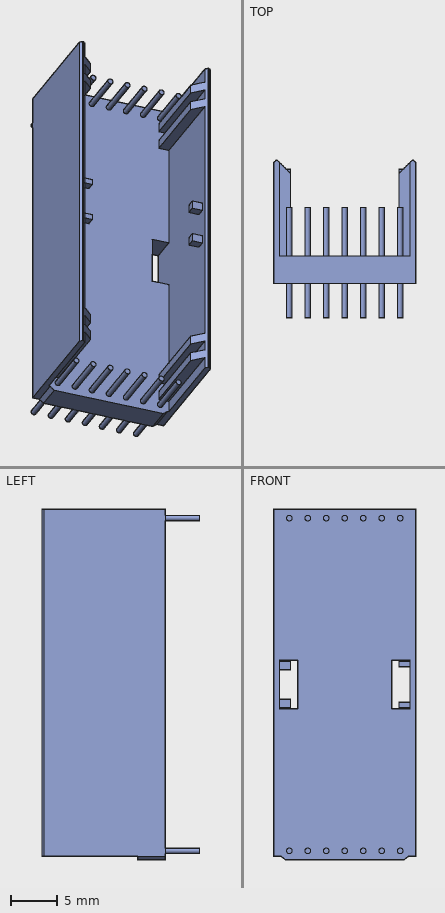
import cadquery as cq

width = 15.4
height = 38.0
depth = 17.1
pin_reach = 3.72
floor_thickness = 3.0
wall_thickness = 0.65
wall_back = depth - pin_reach
wall_inner_x = width / 2 - wall_thickness

edge_bevel = 0.25
wall_shoulder = wall_back - edge_bevel

lip_drop = 0.38
lip_inset = 0.8
lip_corner_run = 0.5

pin_diameter = 0.6
pins_per_row = 7
pin_row_span = 12.0
pin_pitch = pin_row_span / (pins_per_row - 1)
pin_end_inset = 1.0
pin_inner_reach = 5.25
pin_length = pin_reach + floor_thickness + pin_inner_reach

slot_width = 1.95
slot_height = 5.25
mid_z = height / 2

rib_depth = 1.18
rib_height = 1.0
rib_pitch = 2.1
rib_end_inset = 1.67
ribs_per_end = 2

catch_clearance = 0.1
catch_back = wall_back - 1.0
catch_thickness = 1.0
catch_heights = {-1: 0.9, 1: 0.6}


def extrude_up(outline, bottom, length):
    return cq.Workplane("XY", origin=(0, 0, bottom)).polyline(outline).close().extrude(length)


def make_floor():
    half = width / 2
    notch_x = half - lip_inset
    lip_x = notch_x - lip_corner_run
    outline = [
        (-half, height),
        (-half, lip_drop),
        (-notch_x, lip_drop),
        (-lip_x, 0),
        (lip_x, 0),
        (notch_x, lip_drop),
        (half, lip_drop),
        (half, height),
    ]
    sketch = cq.Workplane("XZ", origin=(0, floor_thickness, 0)).polyline(outline).close()
    return sketch.extrude(floor_thickness)


def make_wall(side):
    outline = [
        (side * width / 2, 0),
        (side * width / 2, wall_shoulder),
        (side * (width / 2 - edge_bevel), wall_back),
        (side * (wall_inner_x + edge_bevel), wall_back),
        (side * wall_inner_x, wall_shoulder),
        (side * wall_inner_x, 0),
    ]
    return extrude_up(outline, lip_drop, height - lip_drop)


def make_slot(side):
    center = (side * (wall_inner_x - slot_width / 2), floor_thickness / 2, mid_z)
    return cq.Workplane("XY").box(slot_width, floor_thickness, slot_height).translate(center)


def make_rib(side, bottom):
    root_x = side * wall_inner_x
    crest_x = side * (wall_inner_x - rib_depth)
    outline = [
        (root_x, floor_thickness),
        (root_x, wall_shoulder),
        (crest_x, wall_shoulder - rib_depth),
        (crest_x, floor_thickness),
    ]
    return extrude_up(outline, bottom, rib_height)


def make_catch(side, bottom):
    root_x = side * wall_inner_x
    crest_x = side * (wall_inner_x - rib_depth)
    front = catch_back - catch_thickness
    outline = [(root_x, front), (root_x, catch_back), (crest_x, catch_back), (crest_x, front)]
    return extrude_up(outline, bottom, catch_heights[side])


def make_pin(x, z):
    inner_end = (x, floor_thickness + pin_inner_reach, z)
    return cq.Workplane("XZ", origin=inner_end).circle(pin_diameter / 2).extrude(pin_length)


result = make_floor()

for side in (-1, 1):
    result = result.union(make_wall(side)).cut(make_slot(side))

    for index in range(ribs_per_end):
        inset = rib_end_inset + index * rib_pitch
        result = result.union(make_rib(side, inset))
        result = result.union(make_rib(side, height - inset - rib_height))

    catch_reach = slot_height / 2 - catch_clearance
    result = result.union(make_catch(side, mid_z - catch_reach))
    result = result.union(make_catch(side, mid_z + catch_reach - catch_heights[side]))

for row_z in (pin_end_inset, height - pin_end_inset):
    for index in range(pins_per_row):
        result = result.union(make_pin(index * pin_pitch - pin_row_span / 2, row_z))